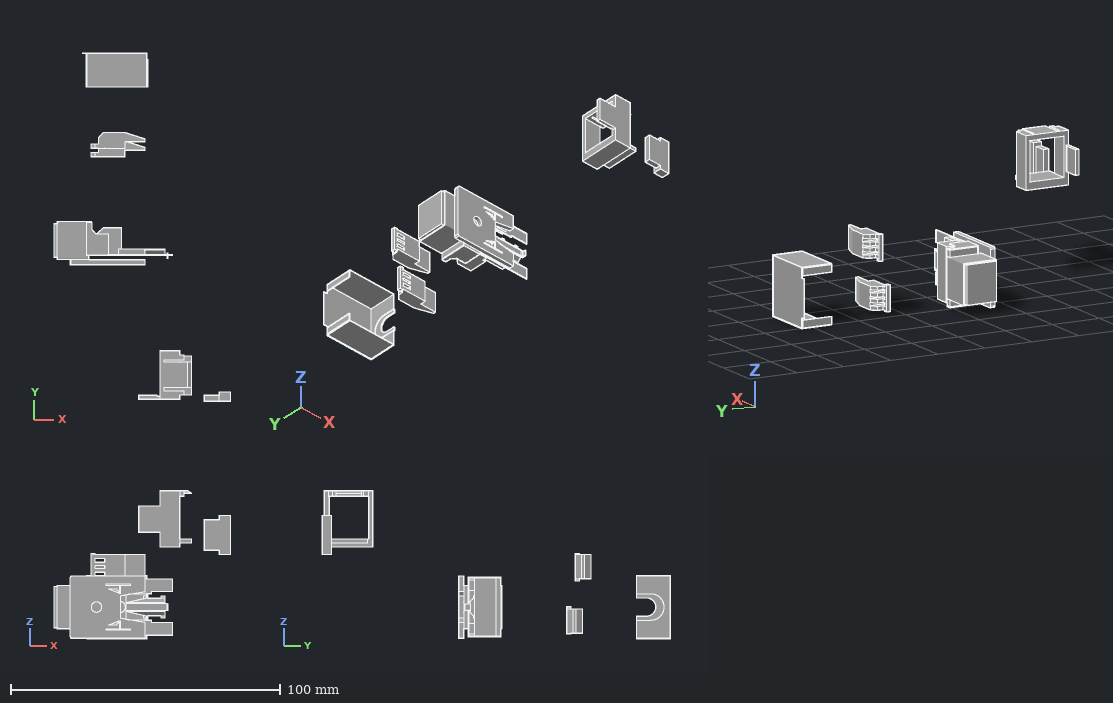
import cadquery as cq
def block(x_range, y_range, z_range):
    """Box between the given limits along X, Y and Z."""
    size = [high - low for low, high in (x_range, y_range, z_range)]
    corner = (x_range[0], y_range[0], z_range[0])
    return cq.Workplane("XY").box(*size, centered=False).translate(corner)


def centred(half, middle):
    """Limits of a span that is symmetric about its middle."""
    return middle - half, middle + half


def extrude_along_y(points, y_range):
    """Outline in (X, Z) swept over a range of Y."""
    depth = y_range[1] - y_range[0]
    return cq.Workplane("XZ", origin=(0, y_range[0], 0)).polyline(points).close().extrude(-depth)


def extrude_along_z(points, z_range):
    """Outline in (X, Y) swept over a range of Z."""
    height = z_range[1] - z_range[0]
    return cq.Workplane("XY", origin=(0, 0, z_range[0])).polyline(points).close().extrude(height)


MID_Z = 11.8
SHEET = 0.4

PLATE_FRONT_Y = 50.75
PLATE_THICKNESS = 1.97
PLATE_BACK_Y = PLATE_FRONT_Y + PLATE_THICKNESS

SHIELD_FRONT_Y = 54.3
SHIELD_BACK_Y = SHIELD_FRONT_Y + SHEET
TONGUE_BACK_Y = SHIELD_BACK_Y + 2.0

BODY_LEFT_X = 12.2
BODY_BACK_Y = 66.5
VALLEY_X = 15.8
VALLEY_Y = 62.2
STEP_X = 14.2
STEP_Y = 63.9
TONGUE_LEFT_X = 24.0
FORK_ROOT_X = 26.8


COVER_LEFT_X = 11.9
COVER_RIGHT_X = 34.65
COVER_FRONT_Y = 116.85
COVER_BACK_Y = 129.49
COVER_HALF_HEIGHT = MID_Z
COVER_WINDOW_HALF = 8.48
COVER_WALL = 0.25
COVER_LIP = 0.4
COVER_LIP_CHAMFER = 0.38
TAB_LENGTH = 1.3
TAB_HALF = 7.6
RIM_HEIGHT = 0.4
RELIEF_RADIUS = 4.92
RELIEF_CENTRE_Y = 122.2
RELIEF_DEPTH = COVER_WALL / 2
CABLE_RADIUS = 3.35
CABLE_CENTRE_Y = 120.65


def open_slot(radius, centre_y, x_range):
    """U-shaped prism along X: round at the back, open at the front of the cover."""
    return (
        cq.Workplane("YZ", origin=(x_range[0], 0, 0))
        .moveTo(COVER_FRONT_Y, MID_Z - radius)
        .lineTo(centre_y, MID_Z - radius)
        .threePointArc((centre_y + radius, MID_Z), (centre_y, MID_Z + radius))
        .lineTo(COVER_FRONT_Y, MID_Z + radius)
        .close()
        .extrude(x_range[1] - x_range[0])
    )


def make_cover():
    outer_x = (COVER_LEFT_X, COVER_RIGHT_X)
    inner_x = (COVER_LEFT_X + COVER_LIP, COVER_RIGHT_X - COVER_WALL)
    inner_y = (COVER_FRONT_Y, COVER_BACK_Y - COVER_WALL)
    shell = block(outer_x, (COVER_FRONT_Y, COVER_BACK_Y), centred(COVER_HALF_HEIGHT, MID_Z))
    shell = shell.faces("<X").edges(">Z or <Z or >Y").chamfer(COVER_LIP_CHAMFER)
    shell = shell.cut(block(inner_x, inner_y, centred(COVER_HALF_HEIGHT - COVER_WALL, MID_Z)))

    window_z = centred(COVER_WINDOW_HALF, MID_Z)
    window_x = (COVER_LEFT_X, inner_x[0])
    shell = shell.cut(block(window_x, (COVER_FRONT_Y, COVER_BACK_Y), window_z))
    tab_x = (COVER_LEFT_X - TAB_LENGTH, inner_x[0])
    shell = shell.union(block(tab_x, (inner_y[1], COVER_BACK_Y), centred(TAB_HALF, MID_Z)))

    rim_x = (COVER_RIGHT_X, COVER_RIGHT_X + RIM_HEIGHT)
    relief_x = (inner_x[1], inner_x[1] + RELIEF_DEPTH)
    shell = shell.union(open_slot(RELIEF_RADIUS, RELIEF_CENTRE_Y, rim_x))
    shell = shell.cut(open_slot(RELIEF_RADIUS, RELIEF_CENTRE_Y, relief_x))
    return shell.cut(open_slot(CABLE_RADIUS, CABLE_CENTRE_Y, (inner_x[1], rim_x[1])))


CLIP_LEFT_X = 13.8
CLIP_FLANGE_X = 15.3
CLIP_BODY_X = 16.5
CLIP_SHOULDER_X = 18.4
CLIP_SLOT_END_X = 18.9
CLIP_WEDGE_X = 26.4
CLIP_TIP_X = 33.9
CLIP_DEPTH = 5.9
CLIP_FLANGE_DEPTH = 1.6
CLIP_SHOULDER_DEPTH = 3.9
CLIP_TIP_FRONT = 2.4
CLIP_TIP_BACK = 3.5
CLIP_FLANGE_HEIGHT = 10.3
CLIP_BODY_Z = (0.9, 10.0)
CLIP_SLOTS = [(2.2, 3.3), (4.9, 5.7), (7.1, 8.4)]
CLIP_PLACES = [(94.1, 21.4, False), (90.95, 1.7, True)]


def make_clip(front_y, bottom_z, upside_down):
    profile = [
        (CLIP_FLANGE_X, 0),
        (CLIP_WEDGE_X, 0),
        (CLIP_WEDGE_X, CLIP_TIP_FRONT),
        (CLIP_TIP_X, CLIP_TIP_FRONT),
        (CLIP_TIP_X, CLIP_TIP_BACK),
        (CLIP_WEDGE_X, CLIP_DEPTH),
        (CLIP_SHOULDER_X, CLIP_DEPTH),
        (CLIP_BODY_X, CLIP_SHOULDER_DEPTH),
        (CLIP_BODY_X, CLIP_FLANGE_DEPTH),
        (CLIP_FLANGE_X, CLIP_FLANGE_DEPTH),
    ]
    clip = extrude_along_z(profile, CLIP_BODY_Z)
    flange_x = (CLIP_LEFT_X, CLIP_FLANGE_X)
    clip = clip.union(block(flange_x, (0, CLIP_FLANGE_DEPTH), (0, CLIP_FLANGE_HEIGHT)))
    for slot_z in CLIP_SLOTS:
        clip = clip.cut(block((CLIP_FLANGE_X, CLIP_SLOT_END_X), (0, CLIP_DEPTH), slot_z))
    if upside_down:
        clip = clip.mirror("XY").translate((0, 0, CLIP_FLANGE_HEIGHT))
    return clip.translate((0, front_y, bottom_z))


PLATE_LEFT_X = 5.95
PLATE_RIGHT_X = 33.95
PLATE_HALF_HEIGHT = 11.6
PLATE_CORNER_X = 0.4
PLATE_CORNER_Z = 0.75
NOTCH_ROOT_X = 24.8
NOTCH_ROOT_HALF = 4.15
NOTCH_MOUTH_HALF = 5.7
PLATE_HOLE_X = 15.85
PLATE_HOLE_RADIUS = 1.95
GROOVE_WIDTH = 0.4
GROOVE_DEPTH = 0.5
GROOVE_BAR_X = (19.3, 28.4)
GROOVE_BAR_HEIGHT = 8.3
GROOVE_STEM_X = 24.6
GROOVE_TIP = (20.4, 6.7)
GROOVE_TOE_X = 23.4
GROOVE_FOOT_HEIGHT = 5.1


def make_plate():
    bottom_z, top_z = centred(PLATE_HALF_HEIGHT, MID_Z)
    bevel_x = PLATE_LEFT_X + PLATE_CORNER_X
    outline = [
        (PLATE_LEFT_X, bottom_z + PLATE_CORNER_Z),
        (bevel_x, bottom_z),
        (PLATE_RIGHT_X, bottom_z),
        (PLATE_RIGHT_X, MID_Z - NOTCH_MOUTH_HALF),
        (NOTCH_ROOT_X, MID_Z - NOTCH_ROOT_HALF),
        (NOTCH_ROOT_X, MID_Z + NOTCH_ROOT_HALF),
        (PLATE_RIGHT_X, MID_Z + NOTCH_MOUTH_HALF),
        (PLATE_RIGHT_X, top_z),
        (bevel_x, top_z),
        (PLATE_LEFT_X, top_z - PLATE_CORNER_Z),
    ]
    plate = extrude_along_y(outline, (PLATE_FRONT_Y, PLATE_BACK_Y))
    hole = cq.Workplane("XZ", origin=(PLATE_HOLE_X, PLATE_FRONT_Y, MID_Z))
    plate = plate.cut(hole.circle(PLATE_HOLE_RADIUS).extrude(-PLATE_THICKNESS))

    groove_y = (PLATE_FRONT_Y, PLATE_FRONT_Y + GROOVE_DEPTH)
    half_width = GROOVE_WIDTH / 2
    stem_x = centred(half_width, GROOVE_STEM_X)
    tip_x, tip_height = GROOVE_TIP
    for side in (-1, 1):
        bar_z = MID_Z + side * GROOVE_BAR_HEIGHT
        foot_z = MID_Z + side * GROOVE_FOOT_HEIGHT
        tip_z = MID_Z + side * tip_height
        spur = [
            (tip_x, tip_z),
            (GROOVE_TOE_X, tip_z),
            (GROOVE_TOE_X, tip_z - side * GROOVE_WIDTH),
            (stem_x[0], foot_z + side * GROOVE_WIDTH),
            (stem_x[0], foot_z),
        ]
        plate = plate.cut(block(GROOVE_BAR_X, groove_y, centred(half_width, bar_z)))
        plate = plate.cut(block(stem_x, groove_y, sorted((foot_z, bar_z))))
        plate = plate.cut(extrude_along_y(spur, groove_y))
    return plate


BOX_LEFT_X = 1.2
BOX_FRONT_RIGHT_X = 13.0
BOX_BACK_RIGHT_X = 14.0
BOX_BACK_Y = 66.9
BOX_HALF_HEIGHT = 8.1
BOX_WALL = 0.4
BOX_FILLET = 0.35
NOSE_GAP = 0.4
NOSE_GAP_DEPTH = 0.3


def make_box():
    box_y = (PLATE_BACK_Y, BOX_BACK_Y)
    box_z = centred(BOX_HALF_HEIGHT, MID_Z)
    box = block((BOX_LEFT_X, BOX_BACK_RIGHT_X), box_y, box_z)
    box = box.edges("|X").fillet(BOX_FILLET)
    box = box.cut(block((BODY_LEFT_X, BOX_BACK_RIGHT_X), (SHIELD_FRONT_Y, BODY_BACK_Y), box_z))
    box = box.cut(block((BOX_FRONT_RIGHT_X, BOX_BACK_RIGHT_X), (box_y[0], SHIELD_FRONT_Y), box_z))

    opening_y = (box_y[0] + BOX_WALL, box_y[1] - BOX_WALL)
    nose_y = (opening_y[0] + NOSE_GAP, opening_y[1] - NOSE_GAP)
    nose_z = centred(BOX_HALF_HEIGHT - BOX_WALL, MID_Z)
    groove_x = (BOX_LEFT_X, BOX_LEFT_X + NOSE_GAP_DEPTH)
    for groove_y in ((opening_y[0], nose_y[0]), (nose_y[1], opening_y[1])):
        box = box.cut(block(groove_x, groove_y, nose_z))
    return box.union(block((0, BOX_LEFT_X), nose_y, nose_z))


SHIELD_RIGHT_X = 20.3
SHIELD_HALF_HEIGHT = 11.2
TINE_TIP_X = 44.15
TINE_OUTER_HALF = 10.5
TINE_INNER_HALF = 5.7
FORK_HALF = 4.9
TINE_STEP_X = 36.3
SHIELD_HOLE_X = 24.4
SHIELD_HOLE_RADIUS = 2.15


def make_shield():
    flange = [
        (BODY_LEFT_X, SHIELD_FRONT_Y),
        (SHIELD_RIGHT_X, SHIELD_FRONT_Y),
        (SHIELD_RIGHT_X, VALLEY_Y),
        (VALLEY_X, VALLEY_Y),
        (STEP_X, STEP_Y),
        (STEP_X, BODY_BACK_Y),
        (BODY_LEFT_X, BODY_BACK_Y),
    ]
    sheet_y = (SHIELD_FRONT_Y, SHIELD_BACK_Y)
    outer_z = centred(SHIELD_HALF_HEIGHT, MID_Z)
    inner_z = centred(SHIELD_HALF_HEIGHT - SHEET, MID_Z)
    channel = extrude_along_z(flange, outer_z)
    flange_x = (BODY_LEFT_X, SHIELD_RIGHT_X)
    channel = channel.cut(block(flange_x, (SHIELD_BACK_Y, BODY_BACK_Y), inner_z))

    fork = block((SHIELD_RIGHT_X, TINE_TIP_X), sheet_y, centred(TINE_OUTER_HALF, MID_Z))
    fork = fork.cut(block((FORK_ROOT_X, TINE_TIP_X), sheet_y, centred(FORK_HALF, MID_Z)))
    fork = fork.cut(block((TINE_STEP_X, TINE_TIP_X), sheet_y, centred(TINE_INNER_HALF, MID_Z)))
    hole = cq.Workplane("XZ", origin=(SHIELD_HOLE_X, SHIELD_FRONT_Y, MID_Z))
    return channel.union(fork).cut(hole.circle(SHIELD_HOLE_RADIUS).extrude(-SHEET))


HOUSING_RIGHT_X = 25.2
HOUSING_BACK_Y = 64.6
HOUSING_SHOULDER_X = 18.4


def make_housing():
    profile = [
        (BODY_LEFT_X, SHIELD_BACK_Y),
        (TONGUE_LEFT_X, SHIELD_BACK_Y),
        (TONGUE_LEFT_X, TONGUE_BACK_Y),
        (HOUSING_RIGHT_X, TONGUE_BACK_Y),
        (HOUSING_RIGHT_X, HOUSING_BACK_Y),
        (HOUSING_SHOULDER_X, HOUSING_BACK_Y),
        (VALLEY_X, VALLEY_Y),
        (STEP_X, STEP_Y),
        (STEP_X, BODY_BACK_Y),
        (BODY_LEFT_X, BODY_BACK_Y),
    ]
    return extrude_along_z(profile, centred(SHIELD_HALF_HEIGHT - SHEET, MID_Z))


FRAME_ARM_X = 33.85
FRAME_HALF_HEIGHT = 10.0
FRAME_SLOT_HALF = 6.2
TONGUE_TIP_X = 41.35
TONGUE_ROOT_HALF = 1.6
TONGUE_FACE_HALF = 1.72
TONGUE_HALF = 3.3
TONGUE_RIM = 0.4
TONGUE_FULL_X = 34.2
EAR_HALF = 4.15
EAR_SPANS = [(33.4, 34.6), (39.8, TONGUE_TIP_X)]
RIB_HALF = 1.37
HOOK_X = 42.1
HOOK_Y = (53.1, 55.1)
HOOK_HALF = 1.2


def make_tongue():
    frame_y = (SHIELD_BACK_Y, TONGUE_BACK_Y)
    frame = block((TONGUE_LEFT_X, FRAME_ARM_X), frame_y, centred(FRAME_HALF_HEIGHT, MID_Z))
    frame = frame.cut(block((FORK_ROOT_X, FRAME_ARM_X), frame_y, centred(FRAME_SLOT_HALF, MID_Z)))

    bevel_back_y = TONGUE_BACK_Y - TONGUE_RIM
    section = [
        (SHIELD_BACK_Y, MID_Z - TONGUE_FACE_HALF),
        (bevel_back_y, MID_Z - TONGUE_HALF),
        (TONGUE_BACK_Y, MID_Z - TONGUE_HALF),
        (TONGUE_BACK_Y, MID_Z + TONGUE_HALF),
        (bevel_back_y, MID_Z + TONGUE_HALF),
        (SHIELD_BACK_Y, MID_Z + TONGUE_FACE_HALF),
    ]
    bar = cq.Workplane("YZ", origin=(FORK_ROOT_X, 0, 0)).polyline(section).close()
    bar = bar.extrude(TONGUE_TIP_X - FORK_ROOT_X)
    taper = [
        (FORK_ROOT_X, MID_Z - TONGUE_ROOT_HALF),
        (TONGUE_FULL_X, MID_Z - TONGUE_HALF),
        (TONGUE_TIP_X, MID_Z - TONGUE_HALF),
        (TONGUE_TIP_X, MID_Z + TONGUE_HALF),
        (TONGUE_FULL_X, MID_Z + TONGUE_HALF),
        (FORK_ROOT_X, MID_Z + TONGUE_ROOT_HALF),
    ]
    tongue = frame.union(bar.intersect(extrude_along_y(taper, frame_y)))
    for ear_x in EAR_SPANS:
        ear_y = (bevel_back_y, TONGUE_BACK_Y)
        tongue = tongue.union(block(ear_x, ear_y, centred(EAR_HALF, MID_Z)))

    rib_y = (SHIELD_FRONT_Y, SHIELD_BACK_Y)
    tongue = tongue.union(block((FORK_ROOT_X, HOOK_X), rib_y, centred(RIB_HALF, MID_Z)))
    return tongue.union(block((HOOK_X, HOOK_X + SHEET), HOOK_Y, centred(HOOK_HALF, MID_Z)))


KEY_X = (39.4, 46.85)
KEY_Y = (0.75, 18.88)
KEY_Z = (34.05, 55.05)
KEY_OPENING_Y = (2.72, 17.3)
KEY_OPENING_Z = (37.15, 52.95)
WING_LEFT_X = 31.5
WING_BACK_Y = 2.36
WING_RELIEF_X = 38.4
WING_RELIEF_BACK_Y = 1.97
WING_Z = (39.55, 49.4)
LATCH_SLOTS_Y = [(3.95, 5.1), (14.6, 15.35)]
LATCH_SLOT_X = 40.9
LATCH_TIP_X = 51.2
LATCH_RAMP_X = 49.7
LATCH_UNDERSIDE_Z = 54.1
STOP_RIGHT_X = 48.4
LEDGE_Y = (WING_BACK_Y, 16.9)
LEDGE_Z = (35.6, KEY_OPENING_Z[0])


def make_key_frame():
    frame = block(KEY_X, KEY_Y, KEY_Z).cut(block(KEY_X, KEY_OPENING_Y, KEY_OPENING_Z))

    frame = frame.union(block((WING_LEFT_X, WING_RELIEF_X), (KEY_Y[0], WING_BACK_Y), WING_Z))
    frame = frame.union(block((WING_RELIEF_X, KEY_X[0]), (KEY_Y[0], WING_RELIEF_BACK_Y), WING_Z))

    roof_z = (KEY_OPENING_Z[1], KEY_Z[1])
    front_slot, back_slot = LATCH_SLOTS_Y
    for slot_y in LATCH_SLOTS_Y:
        frame = frame.cut(block((LATCH_SLOT_X, KEY_X[1]), slot_y, roof_z))
    latch_profile = [
        (KEY_X[1], LATCH_UNDERSIDE_Z),
        (LATCH_TIP_X, LATCH_UNDERSIDE_Z),
        (LATCH_RAMP_X, KEY_Z[1]),
        (KEY_X[1], KEY_Z[1]),
    ]
    frame = frame.union(extrude_along_y(latch_profile, (front_slot[1], back_slot[0])))
    for stop_y in ((WING_BACK_Y, front_slot[0]), (back_slot[1], KEY_OPENING_Y[1])):
        frame = frame.union(block((KEY_X[1], STOP_RIGHT_X), stop_y, roof_z))

    return frame.union(block((KEY_X[1], LATCH_TIP_X), LEDGE_Y, LEDGE_Z))


SLIDER_LEFT_X = 55.9
SLIDER_HEAD_X = 61.4
SLIDER_RIGHT_X = 65.71
SLIDER_MID_Z = 38.6
SLIDER_STEM_DEPTH = 2.36
SLIDER_STEM_HALF = 5.7
SLIDER_HEAD_DEPTH = 3.56
SLIDER_HEAD_HALF = 7.28


def make_slider():
    stem_z = centred(SLIDER_STEM_HALF, SLIDER_MID_Z)
    head_z = centred(SLIDER_HEAD_HALF, SLIDER_MID_Z)
    stem = block((SLIDER_LEFT_X, SLIDER_HEAD_X), (0, SLIDER_STEM_DEPTH), stem_z)
    return stem.union(block((SLIDER_HEAD_X, SLIDER_RIGHT_X), (0, SLIDER_HEAD_DEPTH), head_z))


cover = make_cover()
clips = [make_clip(*place) for place in CLIP_PLACES]
plate = make_plate()
box = make_box()
shield = make_shield()
housing = make_housing()
tongue = make_tongue()
key_frame = make_key_frame()
slider = make_slider()

result = cq.Compound.makeCompound([
    cover.val(),
    *[clip.val() for clip in clips],
    plate.val(),
    box.val(),
    shield.val(),
    housing.val(),
    tongue.val(),
    key_frame.val(),
    slider.val(),
])